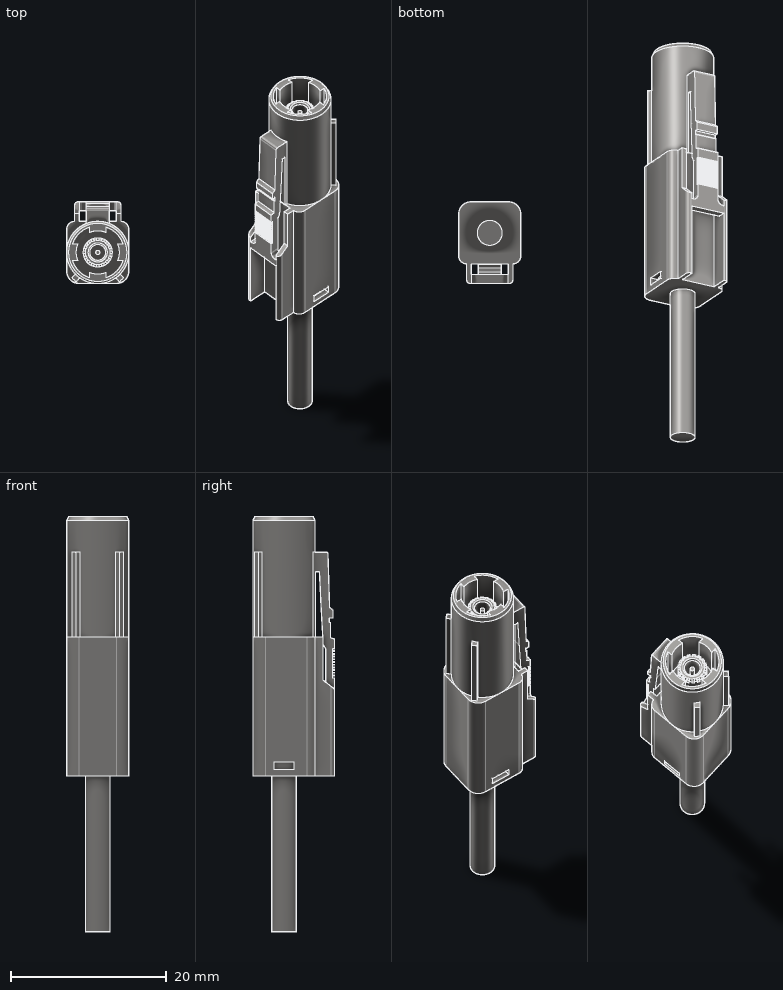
import cadquery as cq
import math

TOTAL_LENGTH = 53.35
CABLE_LENGTH = 20.0
CABLE_RADIUS = 1.6
BODY_LENGTH = 17.85
BODY_TOP = CABLE_LENGTH + BODY_LENGTH
HALF_WIDTH = 4.0

FRONT_CORNER_RADIUS = 1.6
SHOULDER_RADIUS = 1.05
RAIL_OUTER_X = 3.0
RAIL_INNER_X = 2.35
RAIL_BACK_Y = 6.5
RAIL_TOP_Y = 5.0
RAIL_CORNER_RADIUS = 0.5
RAIL_SLOPE_START = 5.55
RAIL_SLOPE_END = 6.7

RECESS_WIDTH = 2.55
RECESS_HEIGHT = 0.95
RECESS_LIFT = 0.85
RECESS_FLOOR_RADIUS = 3.2

BARREL_RADIUS = HALF_WIDTH
RIM_CHAMFER_WIDTH = 0.25
RIM_CHAMFER_HEIGHT = 0.55
SOCKET_RADIUS = 3.4
SOCKET_DEPTH = 7.45
KEY_INNER_RADIUS = 2.8
KEY_WIDTH = 2.15

CROWN_DROP = 2.25
CROWN_OUTER_RADIUS = 1.85
CROWN_INNER_RADIUS = 1.0
CROWN_INNER_CHAMFER = 0.2
CROWN_OUTER_CHAMFER = 0.25
NOTCH_COUNT = 16
NOTCH_WIDTH = 0.3
NOTCH_ROOT_RADIUS = 1.55
NOTCH_DEPTH = 0.8
PIN_DROP = 2.8
PIN_RADIUS = 0.25

RIB_HEIGHT = 10.9
RIB_WIDTH = 0.75
RIB_REACH = 4.65
RIB_OFFSET = 0.3
RIB_ROOT_RADIUS = 3.75

ARM_HALF_WIDTH = 1.5
ARM_HEIGHT = RIB_HEIGHT
ARM_ROOT_Y = 3.75
ARM_TOP_FILLET = 0.25
ARM_TOP_BACK_Y = 5.65
ARM_BACK_Y = 6.0
ARM_SLOT_TOP = 8.3
ARM_SLOT_TOP_Y = 4.55
ARM_FRONT_Y = 4.75
BASE_ROOT_Y = 3.45
ARM_BASE_Y = 4.05
BUMP_BACK_Y = 6.3
BUMP_BOTTOM = 2.4
BUMP_TOP = 3.8
BUMP_TOP_Y = 5.85
BUMP_SLOPE = 0.4
BUMP_NOTCH_Y = 5.8
BUMP_NOTCH_BOTTOM = 1.85
GRIP_BACK_Y = RAIL_BACK_Y
GRIP_FRONT_Y = 5.35
GRIP_TOP = -0.25
GRIP_LEAD_IN = 0.15
GRIP_FRONT_SLOPE = 0.55
GROOVE_COUNT = 11
GROOVE_PITCH = 0.345
GROOVE_WIDTH = 0.24
GROOVE_DEPTH = 0.25
GROOVE_START = -1.55

HINGE_HALF_WIDTH = RAIL_INNER_X
HINGE_TOP = -7.45
HINGE_BOTTOM = -8.55
HINGE_FILLET = 0.65


def cylinder(radius, bottom, top):
    return cq.Workplane("XY").workplane(offset=bottom).circle(radius).extrude(top - bottom)


def block(x_range, y_range, z_range):
    size = [high - low for low, high in (x_range, y_range, z_range)]
    corner = (x_range[0], y_range[0], z_range[0])
    return cq.Workplane("XY").box(*size, centered=False).translate(corner)


def side_prism(points, half_width):
    """Extrude a (Y, Z) outline symmetrically along X."""
    return cq.Workplane("YZ").polyline(points).close().extrude(half_width, both=True)


def make_body():
    main = block((-HALF_WIDTH, HALF_WIDTH), (-HALF_WIDTH, HALF_WIDTH), (CABLE_LENGTH, BODY_TOP))
    main = main.edges("|Z and <Y").fillet(FRONT_CORNER_RADIUS)
    main = main.edges("|Z and >Y").fillet(SHOULDER_RADIUS)

    rails = block((-RAIL_OUTER_X, RAIL_OUTER_X), (0, RAIL_BACK_Y), (CABLE_LENGTH, BODY_TOP))
    rails = rails.edges("|Z and >Y").fillet(RAIL_CORNER_RADIUS)
    slope = side_prism(
        [
            (RAIL_TOP_Y, BODY_TOP),
            (RAIL_TOP_Y, BODY_TOP - RAIL_SLOPE_START),
            (RAIL_BACK_Y, BODY_TOP - RAIL_SLOPE_END),
            (RAIL_BACK_Y, BODY_TOP),
        ],
        RAIL_OUTER_X,
    )
    channel = block((-RAIL_INNER_X, RAIL_INNER_X), (HALF_WIDTH, RAIL_BACK_Y), (CABLE_LENGTH, BODY_TOP))
    body = main.union(rails.cut(slope).cut(channel))

    recess_bottom = CABLE_LENGTH + RECESS_LIFT
    recess_top = recess_bottom + RECESS_HEIGHT
    recess = block(
        (-HALF_WIDTH, HALF_WIDTH),
        (-RECESS_WIDTH / 2, RECESS_WIDTH / 2),
        (recess_bottom, recess_top),
    )
    return body.cut(recess.cut(cylinder(RECESS_FLOOR_RADIUS, recess_bottom, recess_top)))


def make_barrel():
    """Plain barrel with its chamfered rim, before the socket is cut."""
    rim_radius = BARREL_RADIUS - RIM_CHAMFER_WIDTH
    profile = [
        (0, BODY_TOP),
        (BARREL_RADIUS, BODY_TOP),
        (BARREL_RADIUS, TOTAL_LENGTH - RIM_CHAMFER_HEIGHT),
        (rim_radius, TOTAL_LENGTH),
        (0, TOTAL_LENGTH),
    ]
    return cq.Workplane("XZ").polyline(profile).close().revolve(360, (0, 0), (0, 1))


def make_socket():
    """Volume removed from the barrel: a bore less four inward keys."""
    floor = TOTAL_LENGTH - SOCKET_DEPTH
    half_key = KEY_WIDTH / 2
    keys = block((-SOCKET_RADIUS, SOCKET_RADIUS), (-half_key, half_key), (floor, TOTAL_LENGTH))
    keys = keys.union(keys.rotate((0, 0, 0), (0, 0, 1), 90))
    keys = keys.cut(cylinder(KEY_INNER_RADIUS, floor, TOTAL_LENGTH))
    return cylinder(SOCKET_RADIUS, floor, TOTAL_LENGTH).cut(keys)


def make_contacts():
    """Central pin inside a crown whose outer edge is chamfered and notched all around."""
    floor = TOTAL_LENGTH - SOCKET_DEPTH
    crown_top = TOTAL_LENGTH - CROWN_DROP

    crown = cylinder(CROWN_OUTER_RADIUS, floor, crown_top).faces(">Z").chamfer(CROWN_OUTER_CHAMFER)
    crown = crown.cut(cylinder(CROWN_INNER_RADIUS, floor, crown_top))
    crown = crown.faces(">Z").edges(cq.selectors.RadiusNthSelector(0)).chamfer(CROWN_INNER_CHAMFER)

    notch = block(
        (NOTCH_ROOT_RADIUS, BARREL_RADIUS),
        (-NOTCH_WIDTH / 2, NOTCH_WIDTH / 2),
        (crown_top - NOTCH_DEPTH, crown_top),
    )
    for index in range(NOTCH_COUNT):
        crown = crown.cut(notch.rotate((0, 0, 0), (0, 0, 1), index * 360 / NOTCH_COUNT))

    return crown.union(cylinder(PIN_RADIUS, floor, TOTAL_LENGTH - PIN_DROP))


def make_ribs():
    rib = block(
        (RIB_ROOT_RADIUS * math.cos(math.pi / 4), RIB_REACH),
        (-RIB_OFFSET - RIB_WIDTH / 2, -RIB_OFFSET + RIB_WIDTH / 2),
        (BODY_TOP, BODY_TOP + RIB_HEIGHT),
    )
    right_rib = rib.rotate((0, 0, 0), (0, 0, 1), -45)
    return right_rib.union(right_rib.mirror("YZ"))


def make_arm():
    """Latch arm: its side outline, narrowed by its back outline, with grip grooves."""
    side_outline = [
        (ARM_ROOT_Y, ARM_HEIGHT),
        (ARM_TOP_BACK_Y, ARM_HEIGHT),
        (BUMP_TOP_Y, BUMP_TOP),
        (BUMP_BACK_Y, BUMP_TOP - BUMP_SLOPE),
        (BUMP_BACK_Y, BUMP_BOTTOM),
        (BUMP_NOTCH_Y, BUMP_BOTTOM),
        (BUMP_NOTCH_Y, BUMP_NOTCH_BOTTOM),
        (ARM_BACK_Y, BUMP_NOTCH_BOTTOM),
        (ARM_BACK_Y, GRIP_TOP + GRIP_LEAD_IN),
        (GRIP_BACK_Y, GRIP_TOP),
        (GRIP_BACK_Y, HINGE_BOTTOM),
        (GRIP_FRONT_Y, HINGE_BOTTOM),
        (GRIP_FRONT_Y, GROOVE_START),
        (RAIL_TOP_Y, GROOVE_START + GRIP_FRONT_SLOPE),
        (ARM_FRONT_Y, BUMP_TOP),
        (ARM_SLOT_TOP_Y, ARM_SLOT_TOP),
        (ARM_ROOT_Y, ARM_SLOT_TOP),
    ]
    arm = side_prism(side_outline, HINGE_HALF_WIDTH)
    arm = arm.faces(">Z").edges(">Y").fillet(ARM_TOP_FILLET)

    fillet_x = ARM_HALF_WIDTH + HINGE_FILLET
    fillet_top = HINGE_TOP + HINGE_FILLET
    bend = HINGE_FILLET * (1 - math.sqrt(0.5))
    outline = (
        cq.Workplane("XZ")
        .moveTo(-ARM_HALF_WIDTH, ARM_HEIGHT)
        .lineTo(ARM_HALF_WIDTH, ARM_HEIGHT)
        .lineTo(ARM_HALF_WIDTH, fillet_top)
        .threePointArc((ARM_HALF_WIDTH + bend, HINGE_TOP + bend), (fillet_x, HINGE_TOP))
        .lineTo(HINGE_HALF_WIDTH, HINGE_TOP)
        .lineTo(HINGE_HALF_WIDTH, HINGE_BOTTOM)
        .lineTo(-HINGE_HALF_WIDTH, HINGE_BOTTOM)
        .lineTo(-HINGE_HALF_WIDTH, HINGE_TOP)
        .lineTo(-fillet_x, HINGE_TOP)
        .threePointArc((-ARM_HALF_WIDTH - bend, HINGE_TOP + bend), (-ARM_HALF_WIDTH, fillet_top))
        .close()
        .extrude(-GRIP_BACK_Y)
    )
    arm = arm.intersect(outline)

    for index in range(GROOVE_COUNT):
        top = GROOVE_START - index * GROOVE_PITCH
        arm = arm.cut(
            block(
                (-ARM_HALF_WIDTH, ARM_HALF_WIDTH),
                (GRIP_BACK_Y - GROOVE_DEPTH, GRIP_BACK_Y),
                (top - GROOVE_WIDTH, top),
            )
        )

    base = block((-ARM_HALF_WIDTH, ARM_HALF_WIDTH), (BASE_ROOT_Y, ARM_BASE_Y), (0, ARM_HEIGHT))
    return arm.union(base).translate((0, 0, BODY_TOP))


cable = cylinder(CABLE_RADIUS, 0, CABLE_LENGTH)
shell = make_barrel().union(make_ribs()).union(make_arm()).cut(make_socket())
result = cable.union(make_body()).union(shell).union(make_contacts())